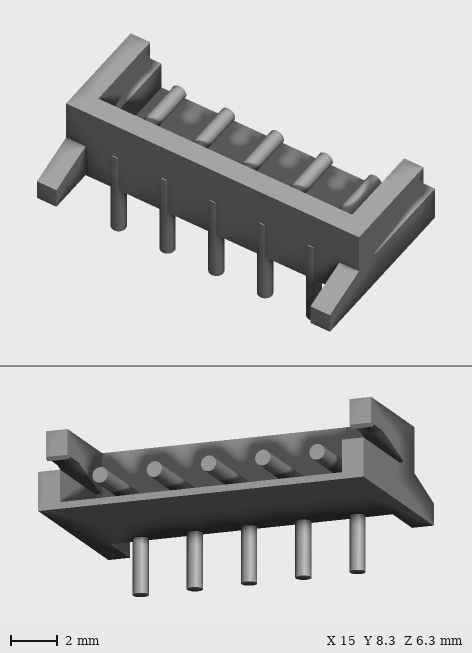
import cadquery as cq

LENGTH = 15.0
END_WIDTH = 1.0
WALL_THICKNESS = 1.0
HEIGHT = 3.8
FLOOR_THICKNESS = 0.3
BASE_DEPTH = 6.0

BASE_HEIGHT = 1.75
FOOT_REACH = 2.3
FOOT_TIP_HEIGHT = 1.0
ARM_REACH = 5.1
ARM_UNDERSIDE = 2.65
ARM_FLAT_END = 3.75
SLOT_BOTTOM = 1.2
SLOT_END_HEIGHT = 0.17
BARB = 0.15

PIN_COUNT = 5
PIN_PITCH = 2.5
PIN_RADIUS = 0.35
PIN_TAIL = 2.5
PIN_TOP = 1.95
PIN_PROUD = 0.05
PIN_AXIS_Y = PIN_RADIUS - PIN_PROUD
PIN_AXIS_Z = PIN_TOP - PIN_RADIUS
PIN_REACH = ARM_REACH


def make_end_plate(x_start):
    """Plate in the YZ plane with a foot in front, a slot behind and a barbed arm above."""
    profile = [
        (-FOOT_REACH, 0),
        (BASE_DEPTH, 0),
        (BASE_DEPTH, BASE_HEIGHT),
        (SLOT_BOTTOM, BASE_HEIGHT),
        (SLOT_BOTTOM, BASE_HEIGHT + SLOT_END_HEIGHT),
        (ARM_FLAT_END, ARM_UNDERSIDE),
        (ARM_REACH - 2 * BARB, ARM_UNDERSIDE),
        (ARM_REACH - BARB, ARM_UNDERSIDE - BARB),
        (ARM_REACH, ARM_UNDERSIDE),
        (ARM_REACH, HEIGHT),
        (0, HEIGHT),
        (0, BASE_HEIGHT),
        (-FOOT_REACH, FOOT_TIP_HEIGHT),
    ]
    plate = cq.Workplane("YZ").polyline(profile).close().extrude(END_WIDTH)
    return plate.translate((x_start, 0, 0))


def make_wall_and_floor():
    """L-shaped section joining the two end plates."""
    section = [
        (0, 0),
        (BASE_DEPTH, 0),
        (BASE_DEPTH, FLOOR_THICKNESS),
        (WALL_THICKNESS, FLOOR_THICKNESS),
        (WALL_THICKNESS, HEIGHT),
        (0, HEIGHT),
    ]
    return cq.Workplane("YZ").polyline(section).close().extrude(LENGTH / 2, both=True)


def make_pin(x_position):
    """Round pin with a sharp mitred bend."""
    path = (
        cq.Workplane("YZ")
        .moveTo(PIN_AXIS_Y, -PIN_TAIL)
        .lineTo(PIN_AXIS_Y, PIN_AXIS_Z)
        .lineTo(PIN_REACH, PIN_AXIS_Z)
    )
    tail_end = cq.Workplane("XY", origin=(0, PIN_AXIS_Y, -PIN_TAIL)).circle(PIN_RADIUS)
    return tail_end.sweep(path, transition="right").translate((x_position, 0, 0))


result = make_wall_and_floor()
for plate_start in (-LENGTH / 2, LENGTH / 2 - END_WIDTH):
    result = result.union(make_end_plate(plate_start))
for index in range(PIN_COUNT):
    pin_x = (index - (PIN_COUNT - 1) / 2) * PIN_PITCH
    result = result.union(make_pin(pin_x))